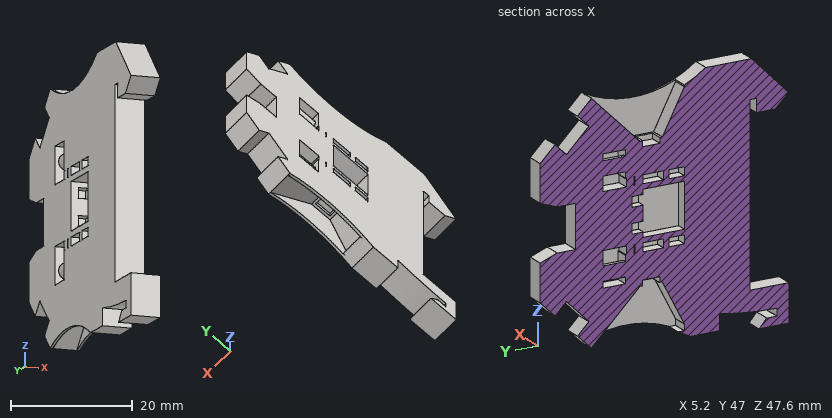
import cadquery as cq
import math

THICKNESS = 5.2
LENGTH = 47.0
TOP = 23.4
BOTTOM = -24.2

EDGE_HALF_INNER = 5.2
EDGE_HALF_OUTER = 12.2
RECESS_HALF = 4.0
RECESS_TAPER = 3.2
RECESS_DEPTH = 6.65
NOSE_RUN = 2.85
NOTCH_DEPTH = 2.15
NOTCH_LENGTH = 4.2
TIP_RUN = 2.65

UPPER_ARC_LOW = (19.1, 19.45)
UPPER_ARC_END = 31.25
LOWER_ARC_HIGH = (18.7, -20.2)
LOWER_ARC_END = 28.4
LOWER_LAND = -23.2

RAIL_FACE = 39.65
UPPER_FLAT_END = 39.95
HOOK_CORNER = 16.2
HOOK_LIP = 13.7
HOOK_LIP_START = 40.85
HOOK_LIP_END = 44.45
FOOT_TOP = -17.05
STEP = 33.9
SPRING_TOP = -20.2
SPRING_END = -21.2
SPRING_ROOT = 44.65
LATCH_TOP = -22.5
LATCH_ROOT = 42.75
LATCH_TIP = 41.3

OPENING_DEPTH = 3.7
SCREW_POCKET_DEPTH = 4.2
POCKET_START = 11.9
POCKET_END = 16.05
CLAMP_INNER = 6.7
CLAMP_OUTER = 11.7
SLOT_INNER = 5.2
POCKET_FOOT_END = 16.25
BAR_START = 17.9
BAR_END = 19.45
OPENINGS_END = 27.2
SLIT_WIDTH = 0.15
LEG_START = 23.25
LEG_END = 24.4
WINDOW_HALF = 4.17
SCREW_RADIUS = 1.42
SCREW_HEIGHT = (CLAMP_INNER + CLAMP_OUTER) / 2

BAR_HOLE_WIDTH = 2.0
BAR_HOLE_HEIGHT = 1.8
BAR_HOLE_X = 2.3
BAR_HOLE_Z = 2.35
BAR_HOLE_DEPTH = 2.0

FUNNEL_WALL = 0.5
FUNNEL_FLOOR = 12.7
FUNNEL_FLOOR_START = 18.9
FUNNEL_FLOOR_END = 23.05
FUNNEL_MOUTH_END = 27.2
FUNNEL_MOUTH_HEIGHT = 20.75
WIRE_HOLE = 3.2
WIRE_HOLE_BACK = (FUNNEL_FLOOR_START + FUNNEL_FLOOR_END) / 2

NOSE = (NOSE_RUN, EDGE_HALF_OUTER + NOSE_RUN)
NOTCH_OUTER = (NOSE[0] + NOTCH_DEPTH, NOSE[1] - NOTCH_DEPTH)
NOTCH_INNER = (NOTCH_OUTER[0] + NOTCH_LENGTH, NOTCH_OUTER[1] + NOTCH_LENGTH)
SHOULDER = (NOTCH_INNER[0] - NOTCH_DEPTH, NOTCH_INNER[1] + NOTCH_DEPTH)
TIP = (SHOULDER[0] + TIP_RUN, SHOULDER[1] + TIP_RUN)


def at(back, z):
    """Point in the YZ plane from the distance behind the label edge and the height."""
    return (LENGTH / 2 - back, z)


def label_edge(side):
    """Outline of one label-side half, from the recess corner to the tip (side is +1 or -1)."""
    points = [
        (RECESS_DEPTH, RECESS_HALF),
        (RECESS_TAPER, RECESS_HALF),
        (0, EDGE_HALF_INNER),
        (0, EDGE_HALF_OUTER),
        NOSE,
        NOTCH_OUTER,
        NOTCH_INNER,
        SHOULDER,
        TIP,
    ]
    return [at(back, side * z) for back, z in points]


def spring_midpoint():
    """Middle of the shallow arc that ends level at the root of the latch."""
    run = SPRING_ROOT - STEP
    rise = SPRING_TOP - SPRING_END
    radius = (run**2 + rise**2) / (2 * rise)
    half_rise = radius - math.sqrt(radius**2 - (run / 2) ** 2)
    return at(SPRING_ROOT - run / 2, SPRING_END + half_rise)


def make_housing():
    upper_rail_side = [
        at(UPPER_FLAT_END, TOP),
        at(LENGTH, HOOK_CORNER),
        at(HOOK_LIP_END, HOOK_LIP),
        at(HOOK_LIP_START, HOOK_LIP),
        at(HOOK_LIP_START, HOOK_CORNER),
        at(RAIL_FACE, HOOK_CORNER),
        at(RAIL_FACE, FOOT_TOP),
        at(LENGTH, FOOT_TOP),
        at(LENGTH, BOTTOM),
        at(LATCH_TIP, BOTTOM),
        at(LATCH_ROOT, LATCH_TOP),
        at(SPRING_ROOT, LATCH_TOP),
        at(SPRING_ROOT, SPRING_END),
    ]
    outline = cq.Workplane("YZ").polyline(label_edge(1))
    outline = outline.threePointArc(at(*UPPER_ARC_LOW), at(UPPER_ARC_END, TOP))
    for point in upper_rail_side:
        outline = outline.lineTo(*point)
    outline = outline.threePointArc(spring_midpoint(), at(STEP, SPRING_TOP))
    outline = outline.lineTo(*at(STEP, LOWER_LAND)).lineTo(*at(LOWER_ARC_END, LOWER_LAND))
    outline = outline.threePointArc(at(*LOWER_ARC_HIGH), label_edge(-1)[-1])
    for point in reversed(label_edge(-1)[:-1]):
        outline = outline.lineTo(*point)
    return outline.close().extrude(THICKNESS)


def side_opening(start, end, low, high, depth=OPENING_DEPTH):
    """Rectangular opening sunk from the X = 0 face."""
    return (
        cq.Workplane("YZ")
        .moveTo(*at((start + end) / 2, (low + high) / 2))
        .rect(end - start, high - low)
        .extrude(depth)
    )


def screw_pocket():
    """Pocket beside the clamp, with the clamp screw left standing across it."""
    pocket = side_opening(POCKET_START, POCKET_END, SLOT_INNER, CLAMP_OUTER, SCREW_POCKET_DEPTH)
    foot = side_opening(POCKET_START, POCKET_FOOT_END, SLOT_INNER, CLAMP_INNER, SCREW_POCKET_DEPTH)
    screw = (
        cq.Workplane("XZ", origin=(0, LENGTH / 2 - POCKET_START, 0))
        .center(SCREW_POCKET_DEPTH / 2, SCREW_HEIGHT)
        .circle(SCREW_RADIUS)
        .extrude(POCKET_FOOT_END - POCKET_START)
    )
    return pocket.union(foot).cut(screw)


def clamp_slots():
    """Narrow slots between the clamp and the housing, on both sides of the current bar."""
    slit = side_opening(BAR_START - SLIT_WIDTH, BAR_START, SLOT_INNER, CLAMP_INNER)
    near_slot = side_opening(BAR_END, LEG_START, SLOT_INNER, CLAMP_INNER)
    far_slot = side_opening(LEG_END, OPENINGS_END, SLOT_INNER, CLAMP_INNER)
    return slit.union(near_slot).union(far_slot)


def bar_hole():
    return (
        cq.Workplane("XZ", origin=(0, LENGTH / 2 - BAR_END, 0))
        .center(BAR_HOLE_X, BAR_HOLE_Z)
        .rect(BAR_HOLE_WIDTH, BAR_HOLE_HEIGHT)
        .extrude(-BAR_HOLE_DEPTH)
    )


def wire_funnel():
    """Tapered wire entry, with a square hole from its floor down to the clamp."""
    funnel = (
        cq.Workplane("YZ", origin=(FUNNEL_WALL, 0, 0))
        .polyline([
            at(*TIP),
            at(FUNNEL_FLOOR_START, FUNNEL_FLOOR),
            at(FUNNEL_FLOOR_END, FUNNEL_FLOOR),
            at(FUNNEL_MOUTH_END, FUNNEL_MOUTH_HEIGHT),
            at(FUNNEL_MOUTH_END, TIP[1]),
        ])
        .close()
        .extrude(THICKNESS - 2 * FUNNEL_WALL)
    )
    hole = (
        cq.Workplane("XY", origin=(THICKNESS / 2, LENGTH / 2 - WIRE_HOLE_BACK, CLAMP_OUTER))
        .rect(WIRE_HOLE, WIRE_HOLE)
        .extrude(FUNNEL_FLOOR - CLAMP_OUTER)
    )
    return funnel.union(hole)


result = make_housing().cut(side_opening(BAR_END, OPENINGS_END, -WINDOW_HALF, WINDOW_HALF))
for make_cutter in (screw_pocket, clamp_slots, bar_hole, wire_funnel):
    upper = make_cutter()
    result = result.cut(upper).cut(upper.mirror("XY"))